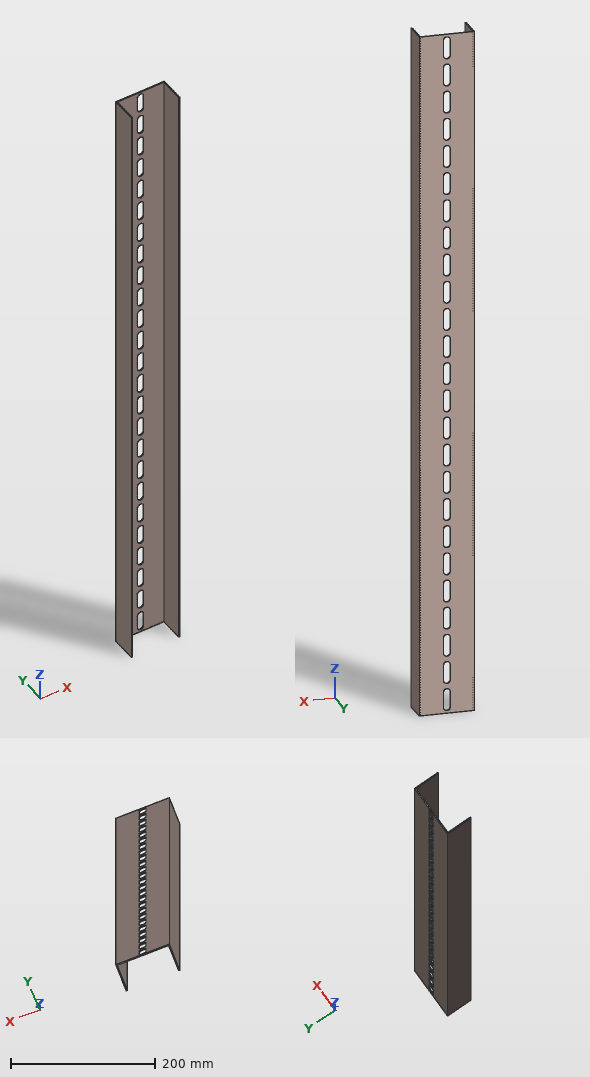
import cadquery as cq

WIDTH = 80.0
DEPTH = 40.0
LENGTH = 1000.0
WALL = 1.8

SLOT_COUNT = 25
SLOT_LENGTH = 32.0
SLOT_WIDTH = 10.0
SLOT_PITCH = LENGTH / SLOT_COUNT
UPRIGHT = 90


def channel():
    """U-shaped channel along Z, with its web at +Y and its open side at -Y."""
    outer = cq.Workplane("XY").box(WIDTH, DEPTH, LENGTH)
    cavity = cq.Workplane("XY", origin=(0, -WALL, 0)).box(WIDTH - 2 * WALL, DEPTH, LENGTH)
    return outer.cut(cavity)


def web_slots():
    """Evenly spaced slots, centred along Z, as deep as the web is thick."""
    return (
        cq.Workplane("XZ", origin=(0, DEPTH / 2, 0))
        .rarray(SLOT_PITCH, SLOT_PITCH, 1, SLOT_COUNT)
        .slot2D(SLOT_LENGTH, SLOT_WIDTH, UPRIGHT)
        .extrude(WALL)
    )


result = channel().cut(web_slots())